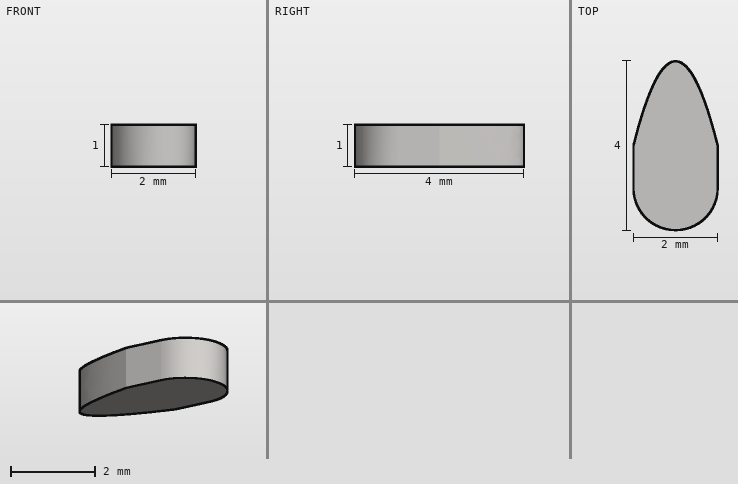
import cadquery as cq

length = 4.0
width = 2.0
thickness = 1.0
straight_length = 1.0

radius = width / 2
nose_tip_y = length - radius
nose_height = nose_tip_y - straight_length

nose_control_y = straight_length + 2 * nose_height

profile = (
    cq.Workplane("XY")
    .moveTo(-radius, straight_length)
    .lineTo(-radius, 0)
    .threePointArc((0, -radius), (radius, 0))
    .lineTo(radius, straight_length)
    .bezier(
        [(radius, straight_length), (0, nose_control_y), (-radius, straight_length)]
    )
    .close()
)

result = profile.extrude(thickness)